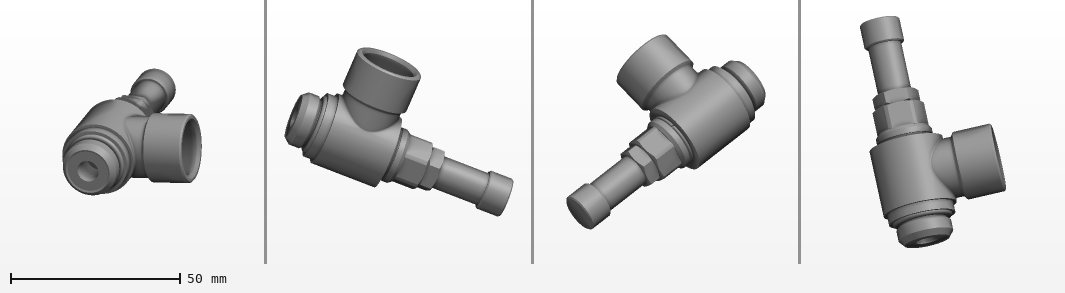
import cadquery as cq
import math

TOTAL_LENGTH = 68

STEM_DIAMETER = 16.5
STEM_NECK_DIAMETER = 14.5
STEM_TIP_DIAMETER = 13.7
STEM_TIP_LENGTH = 1.8
STEM_TAPER_START = 4.8
STEM_TAPER_END = STEM_TAPER_START + (STEM_DIAMETER - STEM_NECK_DIAMETER) / 2
TIP_RECESS_DIAMETER = 13.4
TIP_RECESS_FLOOR_DIAMETER = 12.45
TIP_RECESS_DEPTH = 0.2
STEM_BORE_DIAMETER = 6.5
STEM_BORE_DEPTH = 10.0

SEAL_DIAMETER = 18.0
SEAL_START = 6.05
SEAL_ROUND = 0.9
COLLAR_DIAMETER = 20.0
COLLAR_START = 7.0

BODY_DIAMETER = 22.0
BODY_START = 9.9
BODY_LENGTH = 20.1
BODY_END = BODY_START + BODY_LENGTH

RING_DIAMETER = 17
RING_WIRE_DIAMETER = 1.0
RING_GAP = 0.5
RING_SEAT_DIAMETER = 15.9
SHOULDER_DIAMETER = 16.85
SHOULDER_START = 31.4
SHOULDER_TAPER_START = 33.1
SHOULDER_TOP_DIAMETER = 15.2

LARGE_HEX_START = 34.2
LARGE_HEX_FLATS = 14.0
LARGE_HEX_TURNED = 15.5
SMALL_HEX_START = 41.7
SMALL_HEX_FLATS = 12.0
SMALL_HEX_END = 45.8
HEX_CHAMFER_RADIAL = 0.95
HEX_CHAMFER_LENGTH = 0.55

ROD_DIAMETER = 10.0
CAP_DIAMETER = 12.0
CAP_LENGTH = 7.5
CAP_CHAMFER = 0.4

BRANCH_TILT = 5.8
BRANCH_Y = BODY_START + BODY_LENGTH / 2
NECK_DIAMETER = 18.0
NECK_ROOT_FILLET = 0.5
SOCKET_DIAMETER = 20.5
SOCKET_TAPER_START = 13.5
SOCKET_TAPER_LENGTH = 0.8
SOCKET_TAPER_FILLET = 0.5
SOCKET_END = 25.9
SOCKET_RIM_CHAMFER = 0.5
SOCKET_BORE_DIAMETER = 15.9
SOCKET_BORE_DEPTH = 11.0
SOCKET_BORE_CHAMFER = 0.95


def cylinder(diameter, start, end):
    """Cylinder on the main axis between two Y positions."""
    return cq.Workplane("XZ", origin=(0, start, 0)).circle(diameter / 2).extrude(start - end)


def cone(start_diameter, end_diameter, start, end):
    """Truncated cone on the main axis between two Y positions."""
    profile = [
        (0, start),
        (start_diameter / 2, start),
        (end_diameter / 2, end),
        (0, end),
    ]
    return cq.Workplane("XY").polyline(profile).close().revolve(360, (0, 0), (0, 1))


def hexagon(flats, start, end, turned_diameter, chamfer_start):
    """Hexagon with corners at +X and -X, corners turned round and chamfered."""
    corner_diameter = flats / math.cos(math.pi / 6)
    prism = (
        cq.Workplane("XZ", origin=(0, start, 0))
        .polygon(6, corner_diameter)
        .extrude(start - end)
    )
    blank = cylinder(turned_diameter, start, end)
    blank = blank.faces(">Y").chamfer(HEX_CHAMFER_LENGTH, HEX_CHAMFER_RADIAL)
    if chamfer_start:
        blank = blank.faces("<Y").chamfer(HEX_CHAMFER_LENGTH, HEX_CHAMFER_RADIAL)
    return prism.intersect(blank)


def make_body_with_branch():
    """Barrel with the filleted side branch, built along +X and then tilted."""
    barrel = cylinder(BODY_DIAMETER, BODY_START, BODY_END)
    branch_plane = cq.Workplane("YZ", origin=(0, BRANCH_Y, 0))
    neck = branch_plane.circle(NECK_DIAMETER / 2).extrude(SOCKET_TAPER_START)
    root = cq.selectors.BoxSelector(
        (0.7, BODY_START, -BODY_DIAMETER),
        (SOCKET_TAPER_START - 0.7, BODY_END, BODY_DIAMETER),
    )
    body = barrel.union(neck).edges(root).fillet(NECK_ROOT_FILLET)

    taper_end = SOCKET_TAPER_START + SOCKET_TAPER_LENGTH
    socket_profile = [
        (SOCKET_TAPER_START - 0.7, 0),
        (SOCKET_TAPER_START - 0.7, NECK_DIAMETER / 2),
        (SOCKET_TAPER_START, NECK_DIAMETER / 2),
        (taper_end, SOCKET_DIAMETER / 2),
        (SOCKET_END - SOCKET_RIM_CHAMFER, SOCKET_DIAMETER / 2),
        (SOCKET_END, SOCKET_DIAMETER / 2 - SOCKET_RIM_CHAMFER),
        (SOCKET_END, SOCKET_BORE_DIAMETER / 2 + SOCKET_BORE_CHAMFER),
        (SOCKET_END - SOCKET_BORE_CHAMFER, SOCKET_BORE_DIAMETER / 2),
        (SOCKET_END - SOCKET_BORE_DEPTH, SOCKET_BORE_DIAMETER / 2),
        (SOCKET_END - SOCKET_BORE_DEPTH, 0),
    ]
    socket = (
        cq.Workplane("XY", origin=(0, BRANCH_Y, 0))
        .polyline(socket_profile)
        .close()
        .revolve(360, (0, 0), (1, 0))
    )
    taper_foot = cq.selectors.BoxSelector(
        (SOCKET_TAPER_START - 0.1, 0, -SOCKET_DIAMETER),
        (SOCKET_TAPER_START + 0.1, TOTAL_LENGTH, SOCKET_DIAMETER),
    )
    socket = socket.edges(taper_foot).edges("%CIRCLE").fillet(SOCKET_TAPER_FILLET)
    return body.union(socket).rotate((0, 0, 0), (0, 1, 0), -BRANCH_TILT)


def make_stem():
    """Threaded stem, seal ring and collar."""
    tip = cone(STEM_TIP_DIAMETER, STEM_DIAMETER, 0, STEM_TIP_LENGTH)
    thread = cylinder(STEM_DIAMETER, STEM_TIP_LENGTH, STEM_TAPER_START)
    taper = cone(STEM_DIAMETER, STEM_NECK_DIAMETER, STEM_TAPER_START, STEM_TAPER_END)
    neck = cylinder(STEM_NECK_DIAMETER, STEM_TAPER_END, COLLAR_START)
    seal = cylinder(SEAL_DIAMETER, SEAL_START, COLLAR_START + SEAL_ROUND)
    seal = seal.faces("<Y").edges().fillet(SEAL_ROUND)
    collar = cylinder(COLLAR_DIAMETER, COLLAR_START, BODY_START)
    return tip.union(thread).union(taper).union(neck).union(seal).union(collar)


def make_retaining_ring():
    """Ring with a rounded rim on its seat, split on the +Z side."""
    wire_centre = RING_DIAMETER / 2 - RING_WIRE_DIAMETER / 2
    ring = (
        cq.Workplane("XY")
        .moveTo(wire_centre, BODY_END)
        .threePointArc(
            (RING_DIAMETER / 2, BODY_END + RING_WIRE_DIAMETER / 2),
            (wire_centre, BODY_END + RING_WIRE_DIAMETER),
        )
        .lineTo(0, BODY_END + RING_WIRE_DIAMETER)
        .lineTo(0, BODY_END)
        .close()
        .revolve(360, (0, 0), (0, 1))
    )
    gap = cq.Workplane("XY").box(
        RING_GAP, TOTAL_LENGTH, RING_DIAMETER, centered=(True, False, False)
    )
    seat = cylinder(RING_SEAT_DIAMETER, BODY_END, SHOULDER_START)
    return ring.cut(gap).union(seat)


def make_adjuster():
    """Shoulder, two hexagons, rod and cap."""
    shoulder = cylinder(SHOULDER_DIAMETER, SHOULDER_START, SHOULDER_TAPER_START)
    taper = cone(SHOULDER_DIAMETER, SHOULDER_TOP_DIAMETER, SHOULDER_TAPER_START, LARGE_HEX_START)
    large_hex = hexagon(LARGE_HEX_FLATS, LARGE_HEX_START, SMALL_HEX_START, LARGE_HEX_TURNED, False)
    small_corners = SMALL_HEX_FLATS / math.cos(math.pi / 6)
    small_hex = hexagon(SMALL_HEX_FLATS, SMALL_HEX_START, SMALL_HEX_END, small_corners, True)
    cap_start = TOTAL_LENGTH - CAP_LENGTH
    rod = cylinder(ROD_DIAMETER, SMALL_HEX_END, cap_start)
    cap = cylinder(CAP_DIAMETER, cap_start, TOTAL_LENGTH).edges().chamfer(CAP_CHAMFER)
    return shoulder.union(taper).union(large_hex).union(small_hex).union(rod).union(cap)


tip_recess = cone(TIP_RECESS_DIAMETER, TIP_RECESS_FLOOR_DIAMETER, 0, TIP_RECESS_DEPTH)
stem_bore = cylinder(STEM_BORE_DIAMETER, 0, STEM_BORE_DEPTH)

result = (
    make_body_with_branch()
    .union(make_stem())
    .union(make_retaining_ring())
    .union(make_adjuster())
    .cut(tip_recess)
    .cut(stem_bore)
)